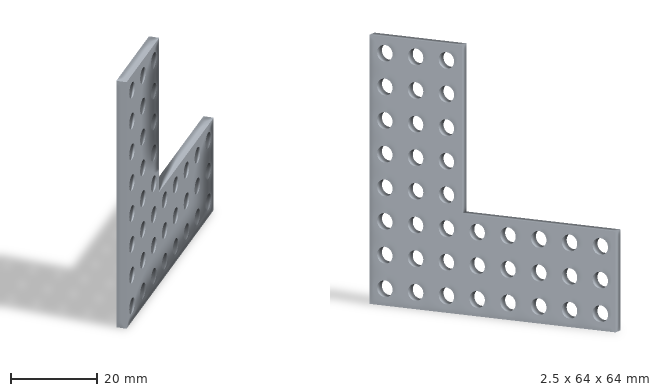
import cadquery as cq

side = 64.0
thickness = 2.5
holes_per_side = 8
holes_across_arm = 3
pitch = side / holes_per_side
hole_diameter = pitch / 2
arm_width = holes_across_arm * pitch


def l_plate():
    """L-shaped plate in the YZ plane, with its outer corner at low Y and low Z."""
    low = -side / 2
    high = side / 2
    inner = low + arm_width
    outline = [
        (low, low),
        (high, low),
        (high, inner),
        (inner, inner),
        (inner, high),
        (low, high),
    ]
    return (
        cq.Workplane("YZ", origin=(-thickness / 2, 0, 0))
        .polyline(outline)
        .close()
        .extrude(thickness)
    )


def hole_centres():
    """Square grid of centres, kept only where it lies on one of the two arms."""
    first = (pitch - side) / 2
    return [
        (first + column * pitch, first + row * pitch)
        for column in range(holes_per_side)
        for row in range(holes_per_side)
        if min(column, row) < holes_across_arm
    ]


hole_cutters = (
    cq.Workplane("YZ", origin=(-thickness / 2, 0, 0))
    .pushPoints(hole_centres())
    .circle(hole_diameter / 2)
    .extrude(thickness)
)

result = l_plate().cut(hole_cutters)